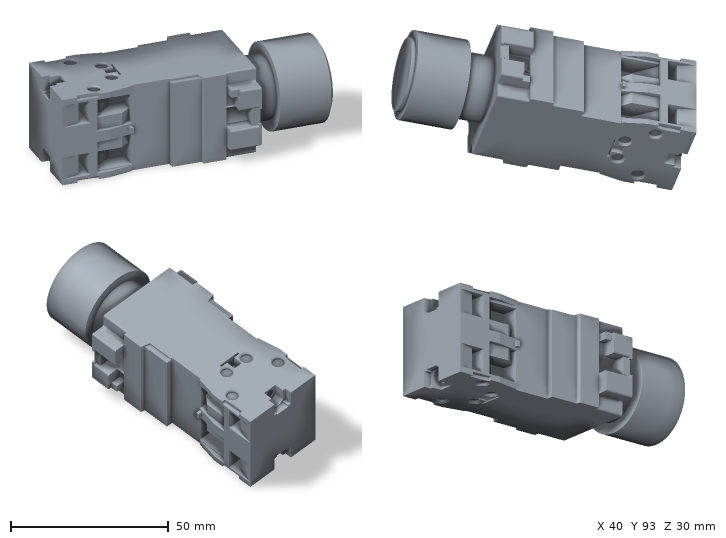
import cadquery as cq
import math

OVERALL_LENGTH = 93.0
OVERALL_WIDTH = 40.0
HOUSING_HEIGHT = 30.0
HALF_HEIGHT = HOUSING_HEIGHT / 2
SIDES = (-1, 1)
CLEARANCE = 4.65

DISC_RADIUS = 12.0
CAP_RADIUS = 14.5
NECK_RADIUS = 10.8
CAP_TOP_Y = 91.6
CAP_BOTTOM_Y = 74.2

HOUSING_TOP_Y = 65.7
COLLAR_BOTTOM_Y = 55.15
SHOULDER_Y = 47.5
SHOULDER_INNER_Y = 46.7
RIB_BOTTOM_Y = 37.2
RAMP_TOP_Y = 24.3
RAMP_BOTTOM_Y = 16.2
COLLAR_HALF_WIDTH = 14.9
SHOULDER_HALF_WIDTH = 16.2
RIB_ROOT_HALF_WIDTH = 12.9
WAIST_HALF_WIDTH = 12.5
RAMP_HALF_WIDTH = RIB_ROOT_HALF_WIDTH
BASE_HALF_WIDTH = 14.5

RIB_HALF_WIDTH = 14.8
RIB_TOP_Z = 14.4

EDGE_RADIUS = 0.6
LUG_HALF_WIDTH = OVERALL_WIDTH / 2
LUG_INNER_Z = 3.3
LUG_OUTER_Z = 10.2
SHORT_LUG_BOTTOM_Y = 58.2
SHORT_LUG_STEP_Y = 58.5
LIP_BOTTOM_Y = 64.8
LIP_INNER_Z = 2.7
GROOVE_CENTER_X = SHOULDER_HALF_WIDTH
WEB_HALF_WIDTH = 18.9
WEB_BOTTOM_Y = 63.0
KEY_HALF_WIDTH = 18.6
KEY_BOTTOM_Y = 55.9
KEY_INNER_Z = 7.7

WINDOW_BOTTOM_Y = 11.9
WINDOW_INNER_Z = 1.9
WINDOW_OUTER_Z = 13.0
LEDGE_HALF_WIDTH = RAMP_HALF_WIDTH
CAVITY_HALF_WIDTH = 6.5
CAVITY_INNER_Z = 6.0
CAVITY_ROOF_Z = 12.2
CAVITY_FLOOR_Z = 12.7
CAVITY_SLOPE_TOP_Y = 19.0
CAVITY_SLOPE_RUN = 5.3
CONTACT_SLOPE_BOTTOM_Y = 20.9
CONTACT_SLOPE_RUN = 2.7
TAB_BOTTOM_Y = 23.2
TAB_HALF_HEIGHT = 1.0

SLOT_TOP_Y = 9.5
SLOT_BOTTOM_Y = 6.0
SLOT_INNER_Z = 5.2

NOTCH_TOP_Y = 12.6
NOTCH_BEND_Y = 9.8
NOTCH_BOTTOM_Y = 5.1
NOTCH_FLOOR_Z = 13.9
NOTCH_TOP_HALF_WIDTH = 13.4
NOTCH_HALF_WIDTH = 13.0

SCREW_Z = 12.6
SCREW_RADIUS = 1.7
SEAT_RADIUS = 3.0
SEAT_HALF_WIDTH = 2.5
SEAT_TOP_Y = 5.9
MOUTH_TOP_Y = 2.5
MOUTH_HALF_WIDTH = 3.6
MOUTH_FLOOR_Z = 9.95
MOUTH_CHANNEL_Z = 9.4
CHANNEL_RADIUS = 1.95
CHANNEL_HALF_WIDTH = 1.6
CHANNEL_BOTTOM_Y = 20.1
CHANNEL_TOP_Y = 23.5
NUT_HALF_WIDTH = 4.1
NUT_FLOOR_Z = 13.7

DIMPLE_RADIUS = 2.3
DIMPLE_FLOOR_RADIUS = 1.95
DIMPLE_CONE_DEPTH = 0.42
DIMPLE_DEPTH = 1.1
DIMPLE_PLACES = [(4.4, 20.7), (10.2, 12.4)]


def box(x_range, y_range, z_range):
    """Box between two limits on each axis, each pair in rising order."""
    (x0, x1), (y0, y1), (z0, z1) = x_range, y_range, z_range
    return cq.Workplane("XY").box(x1 - x0, y1 - y0, z1 - z0, centered=False).translate((x0, y0, z0))


def plate(points, z_range):
    """Polygon in X and Y raised between two heights."""
    z0, z1 = z_range
    return cq.Workplane("XY").workplane(offset=z0).polyline(points).close().extrude(z1 - z0)


def rod(radius, y_range, z=0.0):
    """Cylinder along Y."""
    y0, y1 = y_range
    return cq.Workplane("XZ", origin=(0, y0, z)).circle(radius).extrude(y0 - y1)


def on_both_sides(shape):
    """The shape and its mirror image across X = 0."""
    return shape.union(shape.mirror("YZ"))


def on_both_faces(shape):
    """The shape and its mirror image across Z = 0."""
    return shape.union(shape.mirror("XY"))


def make_button():
    neck = rod(NECK_RADIUS, (HOUSING_TOP_Y, CAP_BOTTOM_Y))
    cap = rod(CAP_RADIUS, (CAP_BOTTOM_Y, CAP_TOP_Y))
    disc = rod(DISC_RADIUS, (CAP_TOP_Y, OVERALL_LENGTH))
    return neck.union(cap).union(disc)


def make_core():
    """Main housing block with its rounded collar at the button end."""
    half_outline = [
        (0, 0),
        (BASE_HALF_WIDTH, 0),
        (BASE_HALF_WIDTH, RAMP_BOTTOM_Y),
        (RAMP_HALF_WIDTH, RAMP_TOP_Y),
        (WAIST_HALF_WIDTH, RAMP_TOP_Y),
        (WAIST_HALF_WIDTH, RIB_BOTTOM_Y),
        (RIB_ROOT_HALF_WIDTH, RIB_BOTTOM_Y),
        (RIB_ROOT_HALF_WIDTH, SHOULDER_INNER_Y),
        (SHOULDER_HALF_WIDTH, SHOULDER_Y),
        (SHOULDER_HALF_WIDTH, COLLAR_BOTTOM_Y),
        (0, COLLAR_BOTTOM_Y),
    ]
    core = on_both_sides(plate(half_outline, (-HALF_HEIGHT, HALF_HEIGHT)))
    collar = box(
        (-COLLAR_HALF_WIDTH, COLLAR_HALF_WIDTH),
        (COLLAR_BOTTOM_Y, HOUSING_TOP_Y),
        (-HALF_HEIGHT, HALF_HEIGHT),
    ).edges("|Y").fillet(EDGE_RADIUS)
    return core.union(collar)


def make_ribs():
    """Side ribs that run down from the sloped shoulder."""
    slope = (SHOULDER_Y - SHOULDER_INNER_Y) / (SHOULDER_HALF_WIDTH - RIB_ROOT_HALF_WIDTH)
    rib_top_y = SHOULDER_Y - slope * (SHOULDER_HALF_WIDTH - RIB_HALF_WIDTH)
    outline = [
        (WAIST_HALF_WIDTH, RIB_BOTTOM_Y),
        (RIB_HALF_WIDTH, RIB_BOTTOM_Y),
        (RIB_HALF_WIDTH, rib_top_y),
        (RIB_ROOT_HALF_WIDTH, SHOULDER_INNER_Y),
        (WAIST_HALF_WIDTH, SHOULDER_INNER_Y),
    ]
    return on_both_sides(plate(outline, (-HALF_HEIGHT, RIB_TOP_Z)))


def make_lug(bottom_y):
    """Upper lug on the +X side, rounded outside and blended into the collar wall."""
    r = EDGE_RADIUS
    root_x = COLLAR_HALF_WIDTH - r
    return (
        cq.Workplane("XZ", origin=(0, bottom_y, 0))
        .moveTo(root_x, LUG_INNER_Z)
        .lineTo(LUG_HALF_WIDTH - r, LUG_INNER_Z)
        .tangentArcPoint((LUG_HALF_WIDTH, LUG_INNER_Z + r), relative=False)
        .lineTo(LUG_HALF_WIDTH, LUG_OUTER_Z - r)
        .tangentArcPoint((LUG_HALF_WIDTH - r, LUG_OUTER_Z), relative=False)
        .lineTo(COLLAR_HALF_WIDTH + r, LUG_OUTER_Z)
        .tangentArcPoint((COLLAR_HALF_WIDTH, LUG_OUTER_Z + r), relative=False)
        .lineTo(root_x, LUG_OUTER_Z + r)
        .close()
        .extrude(bottom_y - HOUSING_TOP_Y)
    )


def make_key():
    """Small block below the short lug, blended into the collar wall like the lug."""
    reach = box(
        (COLLAR_HALF_WIDTH - EDGE_RADIUS, KEY_HALF_WIDTH),
        (KEY_BOTTOM_Y, SHORT_LUG_STEP_Y),
        (KEY_INNER_Z, LUG_OUTER_Z + EDGE_RADIUS),
    )
    return make_lug(KEY_BOTTOM_Y).intersect(reach)


def make_mount_side():
    """Everything that stands out of the collar on the +X side."""
    inner_x = COLLAR_HALF_WIDTH - EDGE_RADIUS
    step = box(
        (inner_x, LUG_HALF_WIDTH),
        (SHORT_LUG_BOTTOM_Y, SHORT_LUG_STEP_Y),
        (KEY_INNER_Z, LUG_OUTER_Z + EDGE_RADIUS),
    )
    short_lug = make_lug(SHORT_LUG_BOTTOM_Y).cut(step)
    long_lug = make_lug(COLLAR_BOTTOM_Y).mirror("XY")
    web = box((inner_x, WEB_HALF_WIDTH), (WEB_BOTTOM_Y, HOUSING_TOP_Y), (-LUG_INNER_Z, LUG_INNER_Z))
    lip = box(
        (inner_x, LUG_HALF_WIDTH),
        (LIP_BOTTOM_Y, HOUSING_TOP_Y),
        (LIP_INNER_Z, LUG_INNER_Z + EDGE_RADIUS),
    )
    groove_lip = box(
        (inner_x, GROOVE_CENTER_X),
        (COLLAR_BOTTOM_Y, SHORT_LUG_BOTTOM_Y),
        (LIP_INNER_Z, LUG_INNER_Z),
    )
    lugs = short_lug.union(long_lug).union(make_key())
    return lugs.union(web).union(on_both_faces(lip)).union(groove_lip)


def make_collar_groove():
    """Half-round groove between the two lugs, level with their inner faces."""
    groove_y = (COLLAR_BOTTOM_Y, WEB_BOTTOM_Y)
    groove = rod(LUG_INNER_Z, groove_y).translate((GROOVE_CENTER_X, 0, 0))
    inner_half = box((0, GROOVE_CENTER_X), groove_y, (-LUG_INNER_Z, LUG_INNER_Z))
    return on_both_sides(groove.intersect(inner_half))


def make_terminal_windows():
    """Windows with stepped cavities behind them, cut into both sides."""
    window_y = (WINDOW_BOTTOM_Y, RAMP_TOP_Y)
    outer_x = BASE_HALF_WIDTH + CLEARANCE
    opening = box((LEDGE_HALF_WIDTH, outer_x), window_y, (WINDOW_INNER_Z, WINDOW_OUTER_Z))
    cavity = plate(
        [
            (CAVITY_HALF_WIDTH, RAMP_TOP_Y),
            (CAVITY_HALF_WIDTH, CAVITY_SLOPE_TOP_Y),
            (CAVITY_HALF_WIDTH + CAVITY_SLOPE_RUN, WINDOW_BOTTOM_Y),
            (outer_x, WINDOW_BOTTOM_Y),
            (outer_x, RAMP_TOP_Y),
        ],
        (CAVITY_INNER_Z, CAVITY_ROOF_Z),
    )
    contact_slope = plate(
        [
            (LEDGE_HALF_WIDTH, CONTACT_SLOPE_BOTTOM_Y),
            (LEDGE_HALF_WIDTH - CONTACT_SLOPE_RUN, RAMP_TOP_Y),
            (outer_x, RAMP_TOP_Y),
            (outer_x, CONTACT_SLOPE_BOTTOM_Y),
        ],
        (WINDOW_INNER_Z, CAVITY_INNER_Z),
    )
    lower_floor = box((CAVITY_HALF_WIDTH, outer_x), window_y, (-CAVITY_FLOOR_Z, -CAVITY_ROOF_Z))
    windows = on_both_faces(opening.union(cavity).union(contact_slope)).union(lower_floor)
    return on_both_sides(windows)


def make_tabs():
    """Small tabs at the top of the ramps, midway up the sides."""
    tab = box(
        (WAIST_HALF_WIDTH, BASE_HALF_WIDTH),
        (TAB_BOTTOM_Y, RAMP_TOP_Y),
        (-TAB_HALF_HEIGHT, TAB_HALF_HEIGHT),
    )
    return on_both_sides(tab)


def make_wire_slots():
    """Slots right through in X, each with a flared wall toward the contact end."""
    outer_x = BASE_HALF_WIDTH + CLEARANCE
    half_outline = [
        (0, SLOT_TOP_Y),
        (0, SLOT_BOTTOM_Y),
        (LEDGE_HALF_WIDTH, SLOT_BOTTOM_Y),
        (BASE_HALF_WIDTH, 0),
        (outer_x, 0),
        (outer_x, SLOT_TOP_Y),
    ]
    slot = plate(half_outline, (SLOT_INNER_Z, WINDOW_OUTER_Z))
    return on_both_faces(on_both_sides(slot))


def make_edge_notches():
    """Shallow notches in the four long edges of the contact end."""
    outer_x = BASE_HALF_WIDTH + CLEARANCE
    outline = [
        (outer_x, NOTCH_BOTTOM_Y),
        (NOTCH_HALF_WIDTH, NOTCH_BOTTOM_Y),
        (NOTCH_HALF_WIDTH, NOTCH_BEND_Y),
        (NOTCH_TOP_HALF_WIDTH, NOTCH_TOP_Y),
        (outer_x, NOTCH_TOP_Y),
    ]
    notch = plate(outline, (NOTCH_FLOOR_Z, HALF_HEIGHT + CLEARANCE))
    return on_both_faces(on_both_sides(notch))


def round_bottom_slot(radius, half_width, y_range):
    """Slot open upward, with straight walls and a rounded floor around the screw axis."""
    y0, y1 = y_range
    top_z = HALF_HEIGHT + CLEARANCE
    wall_foot_z = SCREW_Z - math.sqrt(radius**2 - half_width**2)
    return (
        cq.Workplane("XZ", origin=(0, y0, 0))
        .moveTo(-half_width, top_z)
        .lineTo(-half_width, wall_foot_z)
        .threePointArc((0, SCREW_Z - radius), (half_width, wall_foot_z))
        .lineTo(half_width, top_z)
        .close()
        .extrude(y0 - y1)
    )


def make_screw_seats():
    """Screw pockets at the contact end, bored through to nut pockets further up, on both faces."""
    top_z = HALF_HEIGHT + CLEARANCE
    mouth_y = (0, MOUTH_TOP_Y)
    mouth = box((-MOUTH_HALF_WIDTH, MOUTH_HALF_WIDTH), mouth_y, (MOUTH_FLOOR_Z, top_z))
    mouth_channel = box((-SEAT_HALF_WIDTH, SEAT_HALF_WIDTH), mouth_y, (MOUTH_CHANNEL_Z, top_z))
    seat = round_bottom_slot(SEAT_RADIUS, SEAT_HALF_WIDTH, (MOUTH_TOP_Y, SEAT_TOP_Y))
    screw_hole = rod(SCREW_RADIUS, (SEAT_TOP_Y, CHANNEL_BOTTOM_Y), SCREW_Z)
    channel = round_bottom_slot(CHANNEL_RADIUS, CHANNEL_HALF_WIDTH, (CHANNEL_BOTTOM_Y, CHANNEL_TOP_Y))
    nut_y = (CHANNEL_TOP_Y, RAMP_TOP_Y)
    nut_slot = round_bottom_slot(SEAT_RADIUS, SEAT_HALF_WIDTH, nut_y)
    nut_ledge = box((-NUT_HALF_WIDTH, NUT_HALF_WIDTH), nut_y, (NUT_FLOOR_Z, top_z))
    screw_end = mouth.union(mouth_channel).union(seat).union(screw_hole)
    nut_end = channel.union(nut_slot).union(nut_ledge)
    return on_both_faces(screw_end.union(nut_end))


def make_dimples():
    """Round dimples with a conical rim, four on the upper face and four on the lower face."""
    places = [(side * x, y) for x, y in DIMPLE_PLACES for side in SIDES]
    floor_plane = cq.Workplane("XY", origin=(0, 0, HALF_HEIGHT - DIMPLE_DEPTH))
    wells = floor_plane.pushPoints(places).circle(DIMPLE_FLOOR_RADIUS).extrude(DIMPLE_DEPTH)
    rim = cq.Solid.makeCone(DIMPLE_FLOOR_RADIUS, DIMPLE_RADIUS, DIMPLE_CONE_DEPTH)
    rim_plane = cq.Workplane("XY", origin=(0, 0, HALF_HEIGHT - DIMPLE_CONE_DEPTH))
    rims = rim_plane.pushPoints(places).eachpoint(lambda place: rim.moved(place))
    return on_both_faces(wells.union(rims))


def make_housing():
    mount_side = make_mount_side()
    opposite_mount = mount_side.rotate((0, 0, 0), (0, 1, 0), 180)
    housing = make_core().union(make_ribs()).union(mount_side).union(opposite_mount)
    housing = housing.cut(make_collar_groove())
    housing = housing.cut(make_terminal_windows()).union(make_tabs())
    housing = housing.cut(make_wire_slots()).cut(make_edge_notches())
    return housing.cut(make_screw_seats()).cut(make_dimples())


button = make_button()
housing = make_housing()

result = cq.Compound.makeCompound([housing.solids().val(), button.solids().val()])